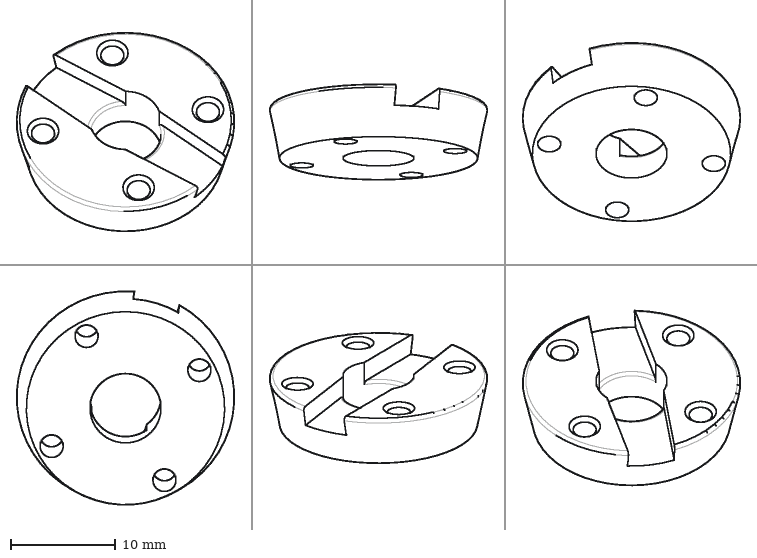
import cadquery as cq
import math

height = 5.0
bottom_radius = 9.5
top_radius = 10.5
rim_fillet = 0.3

bore_radius = 3.4
bore_fillet = 0.3

channel_depth = 2.0
channel_center_half_width = 2.89
channel_taper_angle = 3.6
channel_overrun = 2.0

screw_count = 4
screw_circle_radius = 8.0
screw_first_angle = 45.0
screw_hole_diameter = 2.2
countersink_diameter = 3.0
countersink_angle = 90.0

channel_floor = height - channel_depth
channel_half_length = top_radius + channel_overrun


def make_disc():
    """Disc that widens upward, with a rounded top rim."""
    profile = (
        cq.Workplane("XZ")
        .polyline([(0, 0), (bottom_radius, 0), (top_radius, height), (0, height)])
        .close()
    )
    disc = profile.revolve(360, (0, 0, 0), (0, 1, 0))
    return disc.faces(">Z").edges().fillet(rim_fillet)


def make_channel(floor):
    """Six-sided prism, open above, that narrows toward both ends."""
    narrowing = channel_half_length * math.tan(math.radians(channel_taper_angle))
    end_half_width = channel_center_half_width - narrowing
    outline = [
        (-channel_half_length, -end_half_width),
        (0, -channel_center_half_width),
        (channel_half_length, -end_half_width),
        (channel_half_length, end_half_width),
        (0, channel_center_half_width),
        (-channel_half_length, end_half_width),
    ]
    return cq.Workplane("XY").workplane(offset=floor).polyline(outline).close().extrude(height - floor)


def make_bore_rounding():
    """Material to remove so the channel floor rolls over into the bore, between the channel walls."""
    outer_radius = bore_radius + bore_fillet
    tangent_height = channel_floor - bore_fillet
    diagonal = bore_fillet * math.cos(math.radians(45))
    ring = (
        cq.Workplane("XZ")
        .moveTo(0, tangent_height)
        .lineTo(bore_radius, tangent_height)
        .threePointArc(
            (outer_radius - diagonal, tangent_height + diagonal),
            (outer_radius, channel_floor),
        )
        .lineTo(0, channel_floor)
        .close()
        .revolve(360, (0, 0, 0), (0, 1, 0))
    )
    return ring.intersect(make_channel(tangent_height))


def cut_screw_holes(body):
    """Countersunk through holes evenly spaced on a circle."""
    return (
        body.faces(">Z")
        .workplane(origin=(0, 0, height))
        .polarArray(screw_circle_radius, screw_first_angle, 360, screw_count)
        .cskHole(screw_hole_diameter, countersink_diameter, countersink_angle)
    )


bore = cq.Workplane("XY").circle(bore_radius).extrude(height)

body = cut_screw_holes(make_disc())
body = body.cut(make_channel(channel_floor))
body = body.cut(bore)
result = body.cut(make_bore_rounding())